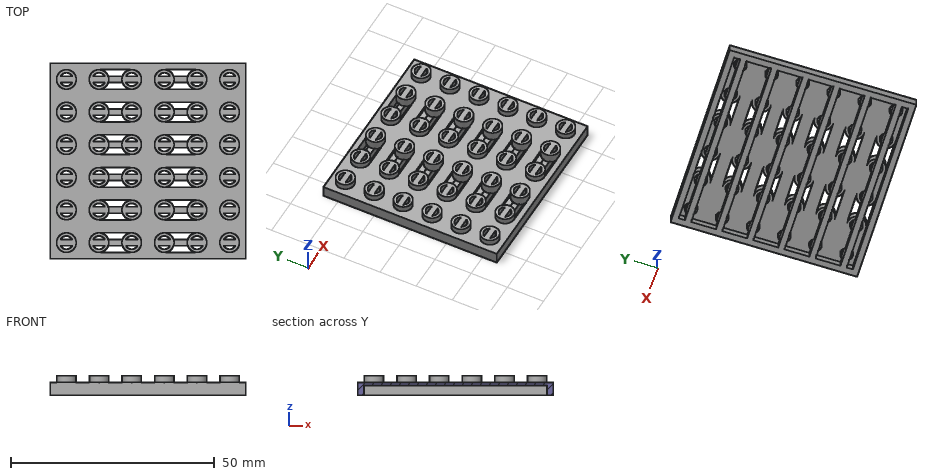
import cadquery as cq

pitch = 8.0
studs_per_side = 6
plate_side = studs_per_side * pitch
plate_height = 3.2

wall_thickness = 1.6
top_thickness = 0.8
cavity_side = plate_side - 2 * wall_thickness
cavity_height = plate_height - top_thickness

stud_diameter = 4.8
stud_bore_diameter = 3.2
stud_height = 1.6
bar_width = 1.6

slot_columns = ((1, 2), (3, 4))
slot_width = stud_diameter
slot_length = pitch + slot_width


def grid_position(index):
    """Coordinate of a stud row or column, with the grid centred on the origin."""
    return (index - (studs_per_side - 1) / 2) * pitch


grid_lines = [grid_position(index) for index in range(studs_per_side)]
stud_points = [(x, y) for x in grid_lines for y in grid_lines]
slot_points = [
    ((grid_position(first) + grid_position(second)) / 2, y)
    for first, second in slot_columns
    for y in grid_lines
]
rib_points = [(0, y) for y in grid_lines]


def level(z):
    """Horizontal workplane at height z."""
    return cq.Workplane("XY").workplane(offset=z)


def make_shell():
    """Plate with a thin top, outer walls and an open underside."""
    plate = level(0).rect(plate_side, plate_side).extrude(plate_height)
    cavity = level(0).rect(cavity_side, cavity_side).extrude(cavity_height)
    return plate.cut(cavity)


def make_slots():
    """Round-ended openings through the top."""
    slots = level(cavity_height).pushPoints(slot_points)
    return slots.slot2D(slot_length, slot_width).extrude(top_thickness)


def make_stud_cylinders(diameter):
    """Cylinders from the underside of the top up to the stud tops."""
    cylinders = level(cavity_height).pushPoints(stud_points).circle(diameter / 2)
    return cylinders.extrude(top_thickness + stud_height)


def make_stud_bars():
    """Bars across the stud bores, each standing on the rib below it."""
    bars = level(cavity_height).pushPoints(stud_points).rect(stud_bore_diameter, bar_width)
    return bars.extrude(top_thickness + stud_height)


def make_ribs():
    """Ribs under the top, running wall to wall along every stud row."""
    return level(0).pushPoints(rib_points).rect(cavity_side, bar_width).extrude(cavity_height)


result = (
    make_shell()
    .cut(make_slots())
    .union(make_stud_cylinders(stud_diameter))
    .cut(make_stud_cylinders(stud_bore_diameter))
    .union(make_ribs())
    .union(make_stud_bars())
)